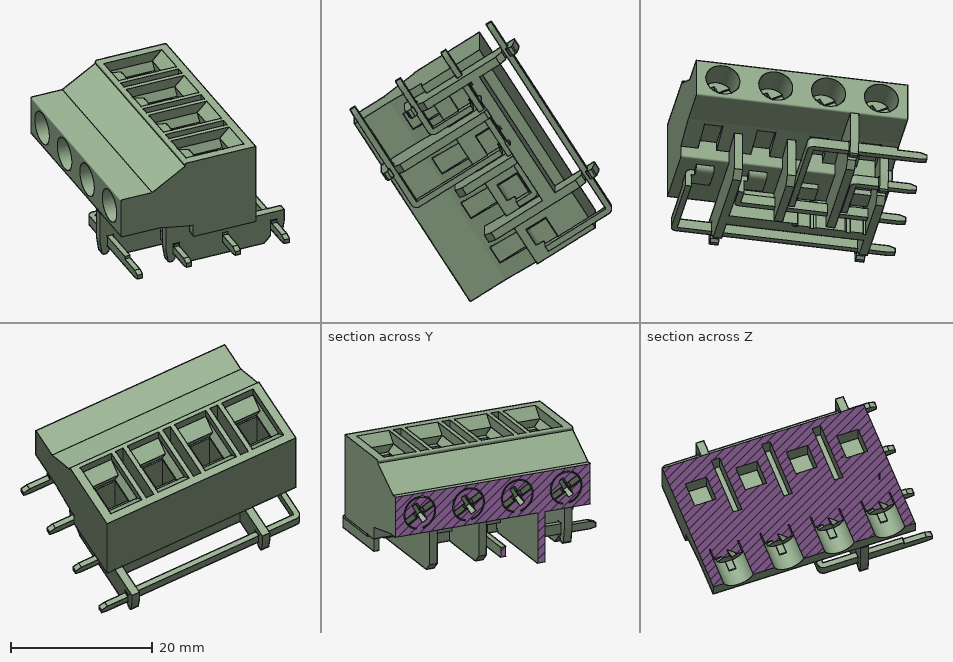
import cadquery as cq

pole_count = 4
body_length = 30.47
pitch = body_length / pole_count
pin_end_x = 33.48
full_depth = 26.0
body_back_y = 21.0
top_z = 17.3
pole_centers = [(i + 0.5) * pitch for i in range(pole_count)]

base_z = 4.82
step_y = 11.25
slope_end_z = 6.65
nose_bottom_z = 7.65
nose_bottom_end_y = 5.95
nose_top_z = 13.8
ramp_foot_y = 4.9
ramp_head_y = 10.0
ramp_head_z = 16.85
edge_radius = 0.27

opening_width = 5.02
opening_front_y = 10.75
opening_back_y = 19.75
funnel_back_y = 18.28
funnel_start_z = 15.8
funnel_floor_width = 3.3
funnel_floor_z = 14.7
lip_end_y = 13.35
lip_end_z = 15.4
well_width = 3.15
well_front_y = 13.6
well_back_y = 17.38
well_floor_z = 7.35
divider_slot_width = 1.2

screw_z = 10.78
hole_diameter = 4.9
head_diameter = 4.7
hole_depth = 6.03
head_face_y = 4.02
drive_angle = 30.0
drive_slot_width = 0.95
drive_slot_depth = 0.35
cross_width = 0.8
long_arm_depth = 1.5
short_arm_depth = 0.75
long_arm_top = 3.2
long_arm_floor = 1.6
short_arm_top = 1.55
short_arm_floor = 0.87
hole_shelf_y = 2.5
hole_shelf_height = 0.2
hole_shelf_width = 1.05

notch_width = 2.68
notch_front_y = 6.6
notch_top_z = 8.05

rib_width = 1.2
rib_centers = [7.55, 15.25, 22.8, 28.6]
rib_front_y = 7.6
rib_back_y = full_depth - rib_front_y
rib_chamfer = 1.15
joint_overlap = 0.35
hook_taper_start_z = 3.0
hook_taper = 0.35
hook_tip_z = 0.67
hook_tip_chamfer = 0.4
hook_outer_chamfer = 0.2
hook_thickness = 1.45
catch_depth = 0.3
window_outer = 1.15
window_inner = 2.15
hook_inner_chamfer = 1.0
window_bottom_z = 1.85
window_top_z = 3.55

strip = 0.85
wire_bottom_z = 1.87
wire_top_z = 3.4
wire_rows = [1.6 + i * pitch for i in range(pole_count)]
back_pin_count = 2
pin_rows = [wire_rows[3], wire_rows[2], wire_rows[0], wire_rows[1]]
riser_offset = 2.6
tab_front_y = 13.9
tab_back_y = 15.95
tab_top_z = 4.72
tab_right_offset = 1.27
tongue_left_offset = -1.3
tongue_reach = 1.3
tongue_end_z = base_z + joint_overlap
pin_step_x = 29.23
pin_top_z = 3.0
tip_length = 0.95
tip_taper = 0.35

skirt_front_y = 17.75
skirt_back_y = 19.42
cover_front_y = 17.35
cover_right_x = 18.08
recess_floor_y = 18.05
recess_floor_half = 1.4
recess_mouth_half = 1.7
post_width = 1.87
recess_centers = pole_centers[2:]


def box(x0, x1, y0, y1, z0, z1):
    """Box between two opposite corners."""
    return cq.Workplane("XY").box(x1 - x0, y1 - y0, z1 - z0, centered=False).translate((x0, y0, z0))


def side_prism(points, x0, x1):
    """Extrude a (y, z) outline from x0 to x1."""
    return cq.Workplane("YZ").workplane(offset=x0).polyline(points).close().extrude(x1 - x0)


def make_housing():
    outline = [
        (0, nose_top_z),
        (ramp_foot_y, nose_top_z),
        (ramp_head_y, ramp_head_z),
        (ramp_head_y, top_z),
        (body_back_y, top_z),
        (body_back_y, base_z),
        (step_y, base_z),
        (step_y, slope_end_z),
        (nose_bottom_end_y, nose_bottom_z),
        (0, nose_bottom_z),
    ]
    rounded_corners = [(0, nose_top_z), (ramp_head_y, top_z), (step_y, base_z), (0, nose_bottom_z)]
    housing = side_prism(outline, 0, body_length)
    for y, z in rounded_corners:
        edge_middle = (body_length / 2, y, z)
        housing = housing.edges(cq.NearestToPointSelector(edge_middle)).fillet(edge_radius)
    return housing


def make_funnel(x):
    """Wire opening: sloped back and front lip, sides drawn in below, and a deep square well."""
    half_opening = opening_width / 2
    half_floor = funnel_floor_width / 2
    half_well = well_width / 2
    lengthwise = side_prism(
        [
            (opening_front_y, top_z),
            (opening_back_y, top_z),
            (funnel_back_y, funnel_start_z),
            (funnel_back_y, funnel_floor_z),
            (lip_end_y, funnel_floor_z),
            (lip_end_y, lip_end_z),
            (opening_front_y, funnel_start_z),
        ],
        x - half_opening,
        x + half_opening,
    )
    crosswise = (
        cq.Workplane("XZ")
        .polyline(
            [
                (x - half_opening, top_z),
                (x + half_opening, top_z),
                (x + half_opening, funnel_start_z),
                (x + half_floor, funnel_floor_z),
                (x - half_floor, funnel_floor_z),
                (x - half_opening, funnel_start_z),
            ]
        )
        .close()
        .extrude(-body_back_y)
    )
    well = box(x - half_well, x + half_well, well_front_y, well_back_y, well_floor_z, funnel_start_z)
    return lengthwise.intersect(crosswise).union(well)


def front_cylinder(x, diameter, y0, y1):
    plane = cq.Workplane("XZ", origin=(x, y0, screw_z))
    return plane.circle(diameter / 2).extrude(y0 - y1)


def cross_arm(top_length, floor_length, depth, floor_depth):
    """Drive recess arm lying along X, its ends sloping in from depth to floor_depth."""
    outline = [
        (-top_length / 2, depth),
        (top_length / 2, depth),
        (floor_length / 2, floor_depth),
        (-floor_length / 2, floor_depth),
    ]
    return cq.Workplane("XY").polyline(outline).close().extrude(cross_width / 2, both=True)


def make_screw_head(x):
    head = front_cylinder(x, head_diameter, head_face_y, hole_depth)
    slot = cq.Workplane("XY").box(head_diameter, 2 * drive_slot_depth, drive_slot_width)
    long_arm = cross_arm(long_arm_top, long_arm_floor, 0, long_arm_depth)
    short_arm = cross_arm(short_arm_top, short_arm_floor, drive_slot_depth, short_arm_depth)
    drive = slot.union(short_arm).union(long_arm.rotate((0, 0, 0), (0, 1, 0), 90))
    drive = drive.rotate((0, 0, 0), (0, 1, 0), -drive_angle)
    return head.cut(drive.translate((x, head_face_y, screw_z)))


def make_hole_shelf(x):
    """Low flat along the bottom of the screw hole, in front of the head."""
    half_width = hole_shelf_width / 2
    hole_bottom_z = screw_z - hole_diameter / 2
    return box(
        x - half_width,
        x + half_width,
        hole_shelf_y,
        hole_depth,
        hole_bottom_z - hole_shelf_height,
        hole_bottom_z + hole_shelf_height,
    )


def make_hook():
    """(distance in from the outer face, z) outline of a hook, down its face and round to the underside."""
    return [
        (0, hook_taper_start_z),
        (hook_taper, hook_tip_z + hook_outer_chamfer),
        (hook_taper + hook_outer_chamfer, hook_tip_z),
        (hook_thickness - hook_tip_chamfer, hook_tip_z),
        (hook_thickness, hook_tip_z + hook_tip_chamfer),
        (hook_thickness, window_bottom_z - catch_depth),
        (window_outer, window_bottom_z),
        (window_outer, window_top_z),
        (window_inner, window_top_z),
        (window_inner, hook_inner_chamfer),
        (window_inner + hook_inner_chamfer, 0),
    ]


def make_rib(x, front_y, front_hook, back_hook):
    """Plate under the housing; each end is either a plain chamfered edge or a hook."""
    slope = (nose_bottom_z - slope_end_z) / (step_y - nose_bottom_end_y)
    front_top_z = nose_bottom_z - slope * max(0, front_y - nose_bottom_end_y)
    front = [(front_y, front_top_z)]
    if front_y < nose_bottom_end_y:
        front.insert(0, (nose_bottom_end_y, nose_bottom_z))
    if front_hook:
        front += [(front_y + inward, z) for inward, z in make_hook()]
    else:
        front += [(front_y, rib_chamfer), (front_y + rib_chamfer, 0)]
    if back_hook:
        back = [(full_depth - inward, z) for inward, z in reversed(make_hook())]
        back.append((full_depth, base_z))
    else:
        back = [(rib_back_y - rib_chamfer, 0), (rib_back_y, rib_chamfer)]
    joint_z = base_z + joint_overlap
    joint_front_y = step_y + joint_overlap
    joint_back_y = body_back_y - joint_overlap
    if back_hook:
        joint = [(joint_back_y, base_z), (joint_back_y, joint_z)]
    else:
        joint = [(rib_back_y, joint_z)]
    joint += [(joint_front_y, joint_z), (joint_front_y, slope_end_z)]
    return side_prism(front + back + joint, x - rib_width / 2, x + rib_width / 2)


def make_pin(x, row_y, toward_back):
    """Tab under the housing, riser, and a strip bent round to run out along +X."""
    left = x - riser_offset
    right = x + tab_right_offset
    riser = (
        box(left, right, tab_front_y, tab_back_y, wire_bottom_z, tab_top_z)
        .edges("|Y and <X and >Z")
        .fillet(strip)
        .cut(box(left + strip, right, tab_front_y, tab_back_y, wire_bottom_z, tab_top_z - strip))
    )

    if toward_back:
        wire_y0, wire_y1 = tab_front_y, row_y + strip / 2
        inside_y0, inside_y1 = tab_front_y, row_y - strip / 2
        corner = "|Z and <X and >Y"
    else:
        wire_y0, wire_y1 = row_y - strip / 2, tab_back_y
        inside_y0, inside_y1 = row_y + strip / 2, tab_back_y
        corner = "|Z and <X and <Y"
    wire = (
        box(left, pin_end_x, wire_y0, wire_y1, wire_bottom_z, wire_top_z)
        .edges(corner)
        .fillet(strip)
        .cut(box(left + strip, pin_end_x, inside_y0, inside_y1, wire_bottom_z, wire_top_z))
    )
    y0 = row_y - strip / 2
    y1 = row_y + strip / 2
    wire = wire.cut(box(pin_step_x, pin_end_x, y0, y1, pin_top_z, wire_top_z))
    tip = (
        cq.Workplane("XZ", origin=(0, y1, 0))
        .polyline(
            [
                (pin_end_x - tip_length, wire_bottom_z),
                (pin_end_x, wire_bottom_z + tip_taper / 2),
                (pin_end_x, pin_top_z - tip_taper),
                (pin_end_x - tip_length, pin_top_z),
            ]
        )
        .close()
        .extrude(strip)
    )
    wire = wire.cut(box(pin_end_x - tip_length, pin_end_x, y0, y1, wire_bottom_z, wire_top_z)).union(tip)
    return riser.union(wire).union(make_tongue(x, toward_back))


def make_tongue(x, toward_back):
    """Curved end of the tab, turning up into the housing."""
    x0 = x + tongue_left_offset
    x1 = x + tab_right_offset
    bottom = tab_top_z - strip
    end_y = tab_front_y - tongue_reach
    tongue = (
        box(x0, x1, end_y, tab_back_y, bottom, tongue_end_z)
        .edges("|X and <Y and <Z")
        .fillet(strip)
        .cut(box(x0, x1, end_y + strip, tab_back_y, tab_top_z, tongue_end_z))
    )
    if toward_back:
        return tongue
    return tongue.mirror("XZ", (0, (tab_front_y + tab_back_y) / 2, 0))


def make_skirt():
    """Wall joining the ribs, with a flared recess and a centre post at the last two poles."""
    left = rib_centers[0]
    right = rib_centers[-1]
    skirt = box(left, right, skirt_front_y, skirt_back_y, 0, base_z)
    for x in recess_centers:
        recess = (
            cq.Workplane("XY")
            .polyline(
                [
                    (x - recess_mouth_half, skirt_front_y),
                    (x + recess_mouth_half, skirt_front_y),
                    (x + recess_floor_half, recess_floor_y),
                    (x - recess_floor_half, recess_floor_y),
                ]
            )
            .close()
            .extrude(base_z)
        )
        post = box(x - post_width / 2, x + post_width / 2, skirt_front_y, recess_floor_y, 0, base_z)
        skirt = skirt.cut(recess).union(post)
    return skirt.union(box(left, cover_right_x, cover_front_y, skirt_front_y, 0, base_z))


result = make_housing()
for x in pole_centers:
    result = result.cut(make_funnel(x))
    result = result.cut(front_cylinder(x, hole_diameter, 0, hole_depth))
    result = result.union(make_screw_head(x)).union(make_hole_shelf(x))
    notch = box(x - notch_width / 2, x + notch_width / 2, notch_front_y, step_y, base_z, notch_top_z)
    result = result.cut(notch)

for i in range(1, pole_count):
    x = i * pitch
    half_slot = divider_slot_width / 2
    slot = box(x - half_slot, x + half_slot, opening_front_y, opening_back_y, well_floor_z, top_z)
    result = result.cut(slot)

result = result.union(make_skirt())
result = result.union(make_rib(rib_centers[0], rib_front_y, front_hook=False, back_hook=True))
result = result.union(make_rib(rib_centers[1], rib_front_y, front_hook=False, back_hook=False))
result = result.union(make_rib(rib_centers[2], 0, front_hook=True, back_hook=False))
result = result.union(make_rib(rib_centers[3], rib_front_y, front_hook=True, back_hook=True))

for i, (x, row_y) in enumerate(zip(pole_centers, pin_rows)):
    result = result.union(make_pin(x, row_y, toward_back=i < back_pin_count))